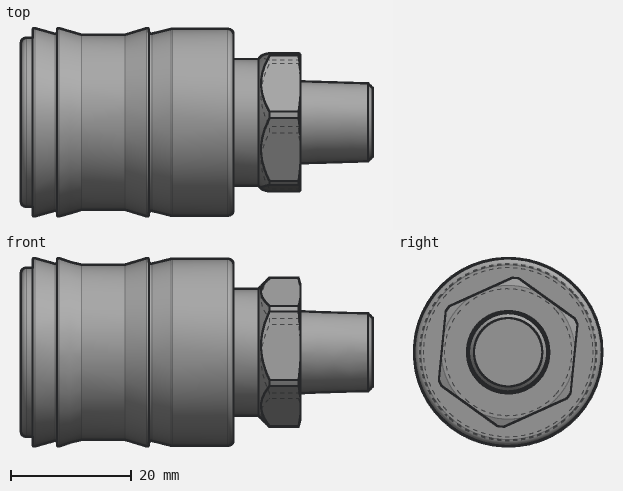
import cadquery as cq
import math


front_wall_x = 2.0
grip_wall_x = 6.0
waist_start_x = 10.1
waist_end_x = 17.25
grip_end_x = 21.2
rear_body_x = 25.0
sleeve_end_x = 35.25
hex_start_x = 39.3
hex_end_x = 46.3
total_length = 58.25

nose_radius = 28.0 / 2
ridge_radius = 31.2 / 2
groove_radius = 14.55
waist_radius = 29.0 / 2
rear_body_radius = 31.0 / 2
neck_radius = 21.0 / 2

nose_round = 1.0
ridge_round = 0.3
front_groove_round = 0.25
rear_groove_round = 0.4
rear_body_round = 1.15
sleeve_end_round = 1.05
apex_rounding_loss = 0.09
ridge_apex_radius = ridge_radius + apex_rounding_loss

hex_across_flats = 21.9
corner_half_angle = 30
hex_corner_radius = 12.35
hex_tilt = 5.7
hex_rear_chamfer_length = 0.35
hex_rear_radius = 11.05

stub_root_radius = 6.8
stub_taper = 1 / 32
stub_chamfer = 0.8


def revolve_about_x(points):
    """Revolve an (x, radius) outline, closed along the X axis."""
    outline = [(points[0][0], 0), *points, (points[-1][0], 0)]
    return cq.Workplane("XY").polyline(outline).close().revolve(360, (0, 0, 0), (1, 0, 0))


def round_rim(body, x, radius, rounding):
    """Round the circular edge that lies at the given x and radius."""
    tolerance = 0.005
    rims = []
    for edge in body.edges("%CIRCLE").vals():
        x_matches = abs(edge.arcCenter().x - x) < tolerance
        radius_matches = abs(edge.radius() - radius) < tolerance
        if x_matches and radius_matches:
            rims.append(edge)
    return body.newObject(rims).fillet(rounding)


def make_sleeve():
    """Nose, three undercut ridges around a plain waist, and the rear cylinder."""
    body = revolve_about_x([
        (0, nose_radius),
        (front_wall_x, nose_radius),
        (front_wall_x, ridge_apex_radius),
        (grip_wall_x, groove_radius),
        (grip_wall_x, ridge_apex_radius),
        (waist_start_x, waist_radius),
        (waist_end_x, waist_radius),
        (grip_end_x, ridge_apex_radius),
        (grip_end_x, groove_radius),
        (rear_body_x, rear_body_radius),
        (sleeve_end_x, rear_body_radius),
    ])
    body = round_rim(body, 0, nose_radius, nose_round)
    for wall_x in (front_wall_x, grip_wall_x, grip_end_x):
        body = round_rim(body, wall_x, ridge_apex_radius, ridge_round)
    body = round_rim(body, grip_wall_x, groove_radius, front_groove_round)
    body = round_rim(body, grip_end_x, groove_radius, rear_groove_round)
    body = round_rim(body, rear_body_x, rear_body_radius, rear_body_round)
    return round_rim(body, sleeve_end_x, rear_body_radius, sleeve_end_round)


def make_neck():
    """Plain cylinder between the sleeve and the hexagon."""
    return revolve_about_x([(sleeve_end_x, neck_radius), (hex_start_x, neck_radius)])


def make_hexagon():
    """Hexagon with corners turned down, a 45 degree front cone and a steep rear chamfer."""
    prism = (
        cq.Workplane("YZ", origin=(hex_start_x, 0, 0))
        .polygon(6, hex_across_flats / math.cos(math.radians(corner_half_angle)))
        .extrude(hex_end_x - hex_start_x)
        .rotate((0, 0, 0), (1, 0, 0), corner_half_angle - hex_tilt)
    )
    turned_blank = revolve_about_x([
        (hex_start_x, neck_radius),
        (hex_start_x + hex_corner_radius - neck_radius, hex_corner_radius),
        (hex_end_x - hex_rear_chamfer_length, hex_corner_radius),
        (hex_end_x, hex_rear_radius),
    ])
    return prism.intersect(turned_blank)


def make_stub():
    """Tapered stub with a 45 degree chamfer at its tip."""
    chamfer_x = total_length - stub_chamfer
    tip_radius = stub_root_radius - stub_taper * (chamfer_x - hex_end_x)
    return revolve_about_x([
        (hex_end_x, stub_root_radius),
        (chamfer_x, tip_radius),
        (total_length, tip_radius - stub_chamfer),
    ])


result = make_sleeve().union(make_neck()).union(make_hexagon()).union(make_stub())